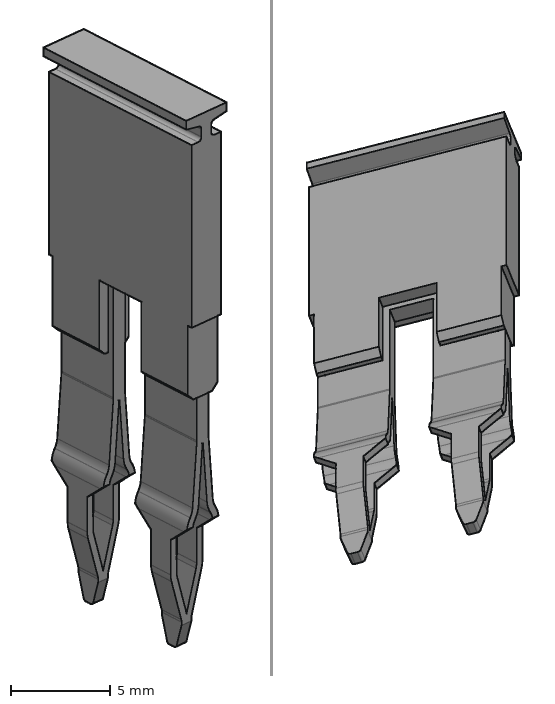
import cadquery as cq
import math

total_height = 31.6
housing_width = 10.5
housing_depth = 2.05
shoulder_z = 19.5
housing_bottom_z = 15.1
leg_chamfer = 0.38

head_depth = 2.8
head_rim_z = 31.1
head_root_z = 30.9
neck_depth = 0.7
body_top_z = 30.05
neck_fillet = 0.22

prong_pitch = 6.13
prong_width = 3.82
bridge_drop = 0.38
plate_depth = 0.82
crotch_z = 12.32
leaf_thickness = 0.4
wall_beside_comb = 0.38

bend_radius = 1.3
tip_bend_radius = 0.8
splay_angle = 4.5
knee_angle = 32.5
closing_angle = -15.5
fork_z = 12.65
knee_z = 8.85
closing_bend_z = 4.68
tip_leaf_y = 0.142

pin_width = 1.45
taper_top_z = 7.75
taper_bottom_z = 6.7
point_top_z = 1.5
point_width = 0.63
point_fillet = 0.2

leg_outer_x = (prong_pitch + prong_width) / 2
comb_slot_x = (prong_pitch - prong_width) / 2
housing_slot_x = comb_slot_x + wall_beside_comb
comb_inner_wall_x = leg_outer_x - wall_beside_comb


def box_between(x_min, x_max, depth, z_min, z_max):
    """Box centred on Y = 0 between the given X and Z limits."""
    size = (x_max - x_min, depth, z_max - z_min)
    centre = ((x_min + x_max) / 2, 0, (z_min + z_max) / 2)
    return cq.Workplane("XY").box(*size).translate(centre)


def bend(station, new_angle, bend_size=bend_radius):
    """Follow an arc from a centre-line station (y, z, angle) to a new angle."""
    y, z, angle = station
    start = math.radians(angle)
    end = math.radians(new_angle)
    radius = math.copysign(bend_size, new_angle - angle)
    y += radius * (math.cos(start) - math.cos(end))
    z -= radius * (math.sin(end) - math.sin(start))
    return (y, z, new_angle)


def straight(station, end_z):
    """Follow a straight stretch down to the height end_z."""
    y, z, angle = station
    return (y + (z - end_z) * math.tan(math.radians(angle)), end_z, angle)


def leaf_stations():
    """Ends of the straight and bent stretches of the +Y leaf, from top to bottom."""
    plate_top = ((plate_depth - leaf_thickness) / 2, shoulder_z, 0.0)
    fork = straight(plate_top, fork_z)
    splay = bend(fork, splay_angle)
    knee = straight(splay, knee_z)
    knee_middle = bend(knee, knee_angle)
    knee_end = bend(knee_middle, 0.0)
    closing_start = straight(knee_end, closing_bend_z)
    closing_end = bend(closing_start, closing_angle)
    slant = math.radians(closing_angle)
    last_bend_y = tip_leaf_y + tip_bend_radius * (1 - math.cos(slant))
    slant_height = (last_bend_y - closing_end[0]) / math.tan(slant)
    last_bend = straight(closing_end, closing_end[1] - slant_height)
    tip_start = bend(last_bend, 0.0, tip_bend_radius)
    tip = straight(tip_start, 0.0)
    return [plate_top, fork, splay, knee, knee_middle, knee_end,
            closing_start, closing_end, last_bend, tip_start, tip]


def beside(station, offset):
    """Point at a distance square to the centre line, positive towards +Y."""
    y, z, angle = station
    turn = math.radians(angle)
    return (y + offset * math.cos(turn), z + offset * math.sin(turn))


def trace(sketch, stations, offset):
    """Draw one face of the leaf from the first station to the last."""
    for before, after in zip(stations, stations[1:]):
        point = beside(after, offset)
        if before[2] == after[2]:
            sketch = sketch.lineTo(*point)
        else:
            sketch = sketch.tangentArcPoint(point, relative=False)
    return sketch


def make_leaf():
    """Bent +Y leaf, as wide as the whole comb."""
    stations = leaf_stations()
    half = leaf_thickness / 2
    sketch = cq.Workplane("YZ").moveTo(*beside(stations[0], half))
    sketch = trace(sketch, stations, half)
    sketch = sketch.lineTo(*beside(stations[-1], -half))
    sketch = trace(sketch, stations[::-1], -half)
    return sketch.close().extrude(leg_outer_x, both=True)


def prong_outline(centre_x):
    """Front shape of one prong: wide leg, tapered shoulders and pointed pin."""
    half_outline = [
        (prong_width / 2, shoulder_z),
        (prong_width / 2, taper_top_z),
        (pin_width / 2, taper_bottom_z),
        (pin_width / 2, point_top_z),
        (point_width / 2, 0),
    ]
    mirrored = [(-x, z) for x, z in reversed(half_outline)]
    prong = cq.Workplane("XZ").polyline(half_outline + mirrored).close()
    prong = prong.extrude(head_depth / 2, both=True)
    prong = prong.edges("|Y and <Z").fillet(point_fillet)
    return prong.translate((centre_x, 0, 0))


def make_comb():
    """One-piece contact: its plate ends in the housing legs, clear of their outer sides."""
    plate = box_between(-leg_outer_x, leg_outer_x, plate_depth, crotch_z, shoulder_z)
    leaf = make_leaf()
    metal = plate.union(leaf).union(leaf.mirror("XZ"))
    bridge_z = shoulder_z - bridge_drop
    outline = box_between(-housing_slot_x, housing_slot_x, head_depth, bridge_z, shoulder_z)
    for side in (-1, 1):
        outline = outline.union(prong_outline(side * prong_pitch / 2))
    comb = metal.intersect(outline)
    for side in (-1, 1):
        step_ends = sorted((side * comb_inner_wall_x, side * leg_outer_x))
        comb = comb.cut(box_between(*step_ends, plate_depth, housing_bottom_z, shoulder_z))
    return comb.solids()


def make_housing(comb):
    """T-topped block with two legs and a recess that matches the comb."""
    half_profile = [
        (head_depth / 2, total_height),
        (head_depth / 2, head_rim_z),
        (neck_depth / 2, head_root_z),
        (neck_depth / 2, body_top_z),
        (housing_depth / 2, body_top_z),
        (housing_depth / 2, housing_bottom_z + leg_chamfer),
        (housing_depth / 2 - leg_chamfer, housing_bottom_z),
    ]
    mirrored = [(-y, z) for y, z in reversed(half_profile)]
    housing = cq.Workplane("YZ").polyline(half_profile + mirrored).close()
    housing = housing.extrude(housing_width / 2, both=True)

    neck_zone = cq.selectors.BoxSelector(
        (-housing_width, -neck_depth, body_top_z - neck_fillet),
        (housing_width, neck_depth, head_rim_z),
    )
    housing = housing.edges("|X").edges(neck_zone).fillet(neck_fillet)

    gaps = [
        (-housing_slot_x, housing_slot_x),
        (-housing_width / 2, -leg_outer_x),
        (leg_outer_x, housing_width / 2),
    ]
    for x_min, x_max in gaps:
        housing = housing.cut(box_between(x_min, x_max, head_depth, housing_bottom_z, shoulder_z))
    return housing.cut(comb).solids()


contact_comb = make_comb()
housing = make_housing(contact_comb)
result = cq.Compound.makeCompound([housing.val(), contact_comb.val()])